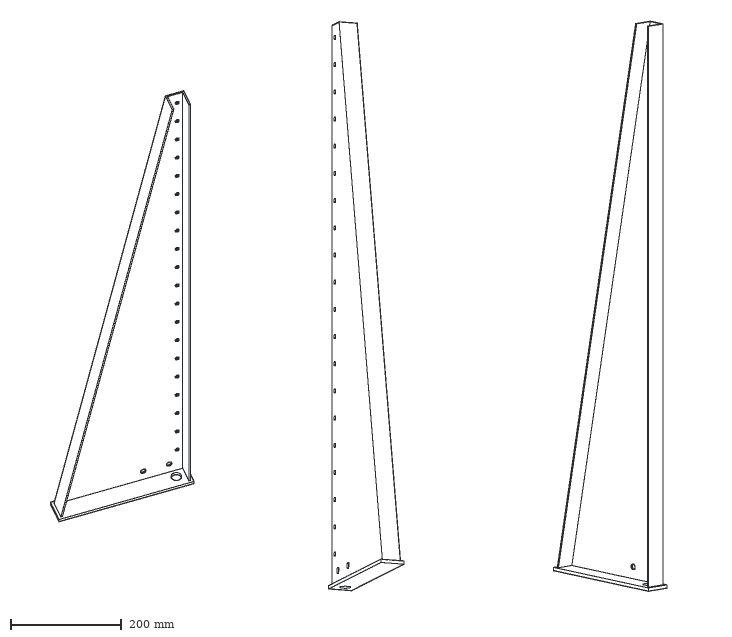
import cadquery as cq

plate_width = 45.0
plate_length = 260.0
plate_thickness = 6.0
total_height = 1036.0

channel_width = 35.0
channel_depth_bottom = 250.0
channel_depth_top = 35.0
wall = 3.0

row_count = 20
row_length = 950.0
row_pitch = row_length / (row_count - 1)
row_inset = 13.0
row_top_drop = 25.0
row_diameter = 7.0

foot_hole_count = 2
foot_hole_diameter = 10.0
foot_hole_inset = 29.0
foot_hole_height = 28.0
foot_hole_pitch = row_pitch

plate_hole_diameter = 19.0
plate_hole_inset = 21.0

back_y = channel_depth_bottom / 2
web_x = -channel_width / 2


def tapered_block(x_start, width, back, front_bottom, front_top):
    """Extrude a side outline with an upright back and a sloping front along +X."""
    outline = [
        (back, plate_thickness),
        (back, total_height),
        (front_top, total_height),
        (front_bottom, plate_thickness),
    ]
    return cq.Workplane("YZ", origin=(x_start, 0, 0)).polyline(outline).close().extrude(width)


def make_channel():
    """Channel with an upright back flange, a sloping front flange and a flat web."""
    front_bottom = back_y - channel_depth_bottom
    front_top = back_y - channel_depth_top
    outer = tapered_block(web_x, channel_width, back_y, front_bottom, front_top)
    inner = tapered_block(
        web_x + wall,
        channel_width - wall,
        back_y - wall,
        front_bottom + wall,
        front_top + wall,
    )
    return outer.cut(inner)


def make_plate():
    """Rectangular base plate with one hole."""
    plate = cq.Workplane("XY").rect(plate_width, plate_length).extrude(plate_thickness)
    hole = (
        cq.Workplane("XY")
        .center(0, back_y - plate_hole_inset)
        .circle(plate_hole_diameter / 2)
        .extrude(plate_thickness)
    )
    return plate.cut(hole)


def web_holes(points, diameter):
    """Cylinders through the web at (y, z) points."""
    web_plane = cq.Workplane("YZ", origin=(web_x, 0, 0))
    return web_plane.pushPoints(points).circle(diameter / 2).extrude(wall)


row_points = [
    (back_y - row_inset, total_height - row_top_drop - i * row_pitch)
    for i in range(row_count)
]
foot_points = [
    (back_y - foot_hole_inset - i * foot_hole_pitch, foot_hole_height)
    for i in range(foot_hole_count)
]

channel = make_channel()
channel = channel.cut(web_holes(row_points, row_diameter))
channel = channel.cut(web_holes(foot_points, foot_hole_diameter))

result = make_plate().union(channel)